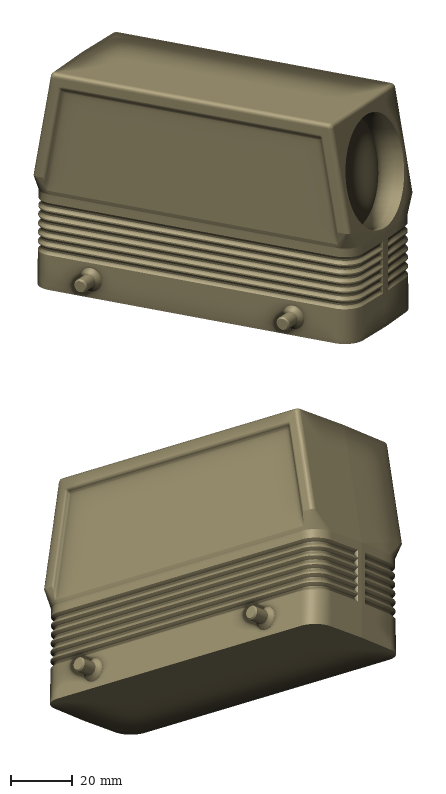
import cadquery as cq
import math

BASE_HALF_LENGTH = 60.0
BASE_HALF_WIDTH = 21.6
BASE_CORNER_RADIUS = 6.8
BASE_HEIGHT = 33.0
LENGTH_DRAFT = 0.15
WIDTH_DRAFT = 0.4
BASE_END_ANGLE = 1.8

GRIP_BOTTOM = 12.0
GRIP_TOP = 30.0
GROOVE_COUNT = 6
GROOVE_DEPTH = 1.0
GROOVE_SLOPE = 1.0
CREST_HEIGHT = 0.45
STRIP_HALF_WIDTH = 1.65
STRIP_SIDE_SPREAD = 0.6

TOTAL_HEIGHT = 76.0
SHOULDER_TOP = 39.0
HOOD_HALF_WIDTH = 22.5
HOOD_TOP_HALF_LENGTH = 52.1
HOOD_EDGE_RADIUS = 1.5
HOOD_END_ANGLE = 1.0
ROOF_ANGLE = 0.5

PANEL_DEPTH = 1.0
PANEL_TOP = 70.6
PANEL_END_MARGIN = 5.3
PANEL_WALL_RUN = 1.0
PANEL_CORNER_RADIUS = 0.7
PANEL_BLEND_RADIUS = 1.1

ENTRY_DIAMETER = 38.6
ENTRY_CENTER_Z = 53.2
ENTRY_DEPTH = 10.0

PIN_X = 37.25
PIN_Z = 6.3
PIN_RADIUS = 2.4
PIN_TIP_Y = 29.0
PIN_TIP_CHAMFER = 0.5
PIN_COLLAR_RADIUS = 4.0
PIN_ROOT_DEPTH = 1.0
PIN_COLLAR_END_Y = 23.2

BASE_TOP_HALF_LENGTH = BASE_HALF_LENGTH - LENGTH_DRAFT
BASE_TOP_HALF_WIDTH = BASE_HALF_WIDTH - WIDTH_DRAFT
END_SLOPE = (BASE_TOP_HALF_LENGTH - HOOD_TOP_HALF_LENGTH) / (TOTAL_HEIGHT - BASE_HEIGHT)
TOLERANCE = 0.01


def section(z, half_length, half_width, radius, end_angle):
    """Horizontal closed wire: rounded rectangle whose ends come to a blunt point on the X axis."""
    lean = math.radians(end_angle)
    center_y = half_width - radius
    center_x = half_length - center_y * math.tan(lean) - radius / math.cos(lean)

    def corner(sign_x, sign_y, angle):
        return (
            sign_x * (center_x + radius * math.cos(angle)),
            sign_y * (center_y + radius * math.sin(angle)),
        )

    square = math.pi / 2
    middle = (lean + square) / 2
    return (
        cq.Workplane("XY", origin=(0, 0, z))
        .moveTo(half_length, 0)
        .lineTo(*corner(1, 1, lean))
        .threePointArc(corner(1, 1, middle), corner(1, 1, square))
        .lineTo(*corner(-1, 1, square))
        .threePointArc(corner(-1, 1, middle), corner(-1, 1, lean))
        .lineTo(-half_length, 0)
        .lineTo(*corner(-1, -1, lean))
        .threePointArc(corner(-1, -1, middle), corner(-1, -1, square))
        .lineTo(*corner(1, -1, square))
        .threePointArc(corner(1, -1, middle), corner(1, -1, lean))
        .close()
        .val()
    )


def ruled(sections):
    """Solid with straight-ruled sides through the given sections."""
    return cq.Workplane(cq.Solid.makeLoft(sections, True))


def base_section(z, inset=0.0):
    """Skirt outline at height z, shrunk evenly by inset."""
    rise = z / BASE_HEIGHT
    return section(
        z,
        BASE_HALF_LENGTH - LENGTH_DRAFT * rise - inset,
        BASE_HALF_WIDTH - WIDTH_DRAFT * rise - inset,
        BASE_CORNER_RADIUS - inset,
        BASE_END_ANGLE,
    )


def hood_half_length(z):
    """Hood reach along X at height z, on the middle plane."""
    return HOOD_TOP_HALF_LENGTH + END_SLOPE * (TOTAL_HEIGHT - z)


def make_skirt():
    """Drafted skirt with a stack of trapezoidal grooves running around it."""
    groove_height = (GRIP_TOP - GRIP_BOTTOM - (GROOVE_COUNT - 1) * CREST_HEIGHT) / GROOVE_COUNT
    sections = [base_section(0)]
    for index in range(GROOVE_COUNT):
        low = GRIP_BOTTOM + index * (groove_height + CREST_HEIGHT)
        high = low + groove_height
        sections.append(base_section(low))
        sections.append(base_section(low + GROOVE_SLOPE, GROOVE_DEPTH))
        sections.append(base_section(high - GROOVE_SLOPE, GROOVE_DEPTH))
        sections.append(base_section(high))
    sections.append(base_section(BASE_HEIGHT))
    return ruled(sections)


def make_end_strips():
    """Plain strips flush with the drafted skirt, their sides widening inwards."""
    spread = STRIP_SIDE_SPREAD / GROOVE_DEPTH
    middle_half_width = STRIP_HALF_WIDTH + BASE_HALF_LENGTH * spread
    bow_tie = (
        cq.Workplane("XY", origin=(0, 0, GRIP_BOTTOM))
        .polyline([
            (BASE_HALF_LENGTH, -STRIP_HALF_WIDTH),
            (BASE_HALF_LENGTH, STRIP_HALF_WIDTH),
            (0, middle_half_width),
            (-BASE_HALF_LENGTH, STRIP_HALF_WIDTH),
            (-BASE_HALF_LENGTH, -STRIP_HALF_WIDTH),
            (0, -middle_half_width),
        ])
        .close()
        .extrude(GRIP_TOP - GRIP_BOTTOM)
    )
    core_width = 2 * (BASE_TOP_HALF_WIDTH - 2 * GROOVE_DEPTH)
    core = cq.Workplane("XY").box(2 * BASE_HALF_LENGTH, core_width, 2 * TOTAL_HEIGHT)
    plain_skirt = ruled([base_section(0), base_section(BASE_HEIGHT)])
    return plain_skirt.intersect(bow_tie).intersect(core)


def make_roof_limit():
    """Prism along X whose top falls slightly from the middle plane to both sides."""
    reach = 2 * HOOD_HALF_WIDTH
    eave = TOTAL_HEIGHT - reach * math.tan(math.radians(ROOF_ANGLE))
    return (
        cq.Workplane("YZ")
        .polyline([(-reach, 0), (reach, 0), (reach, eave), (0, TOTAL_HEIGHT), (-reach, eave)])
        .close()
        .extrude(BASE_HALF_LENGTH, both=True)
    )


def make_shoulder_limit():
    """Flare from the skirt outline to the hood outline; its ends meet the hood at the corners."""
    hood_corner_y = HOOD_HALF_WIDTH - HOOD_EDGE_RADIUS
    angle_gain = math.tan(math.radians(BASE_END_ANGLE)) - math.tan(math.radians(HOOD_END_ANGLE))
    half_length = hood_half_length(SHOULDER_TOP) + hood_corner_y * angle_gain
    outline = section(SHOULDER_TOP, half_length, HOOD_HALF_WIDTH, HOOD_EDGE_RADIUS, BASE_END_ANGLE)
    return ruled([base_section(BASE_HEIGHT), outline])


def hood_section(z):
    """Sharp-cornered outline of the hood at height z."""
    half_length = hood_half_length(z)
    corner_x = half_length - HOOD_HALF_WIDTH * math.tan(math.radians(HOOD_END_ANGLE))
    points = [
        (half_length, 0),
        (corner_x, HOOD_HALF_WIDTH),
        (-corner_x, HOOD_HALF_WIDTH),
        (-half_length, 0),
        (-corner_x, -HOOD_HALF_WIDTH),
        (corner_x, -HOOD_HALF_WIDTH),
    ]
    return cq.Workplane("XY", origin=(0, 0, z)).polyline(points).close().val()


def make_hood_block():
    """Hood with rounded outer edges, carried straight down to the top of the skirt."""
    block = ruled([hood_section(BASE_HEIGHT), hood_section(TOTAL_HEIGHT)])
    block = block.intersect(make_roof_limit())
    middle_reach = HOOD_HALF_WIDTH / 4
    rounded_edges = [
        edge
        for edge in block.edges().vals()
        if edge.Center().z > BASE_HEIGHT + HOOD_EDGE_RADIUS and abs(edge.Center().y) > middle_reach
    ]
    return block.newObject(rounded_edges).fillet(HOOD_EDGE_RADIUS)


def panel_section(y, spread):
    """Panel outline in the plane at the given Y, grown sideways and upwards by spread."""
    top = PANEL_TOP + spread
    bottom = BASE_HEIGHT - PANEL_DEPTH
    top_half = hood_half_length(top) - PANEL_END_MARGIN + spread
    bottom_half = hood_half_length(bottom) - PANEL_END_MARGIN + spread
    return (
        cq.Workplane("XZ", origin=(0, y, 0))
        .polyline([(-bottom_half, bottom), (bottom_half, bottom), (top_half, top), (-top_half, top)])
        .close()
        .val()
    )


def recess_panel(block, side):
    """Cut one sloping-walled panel into a long side and blend the rim and the foot of its wall."""
    face_y = side * HOOD_HALF_WIDTH
    floor_y = side * (HOOD_HALF_WIDTH - PANEL_DEPTH)
    outside_y = side * (HOOD_HALF_WIDTH + PANEL_DEPTH)
    cutter = ruled([
        panel_section(floor_y, -PANEL_WALL_RUN / 2),
        panel_section(outside_y, 3 * PANEL_WALL_RUN / 2),
    ])
    upper_corners = [
        edge
        for edge in cutter.edges().vals()
        if edge.BoundingBox().ylen > PANEL_DEPTH and edge.Center().z > SHOULDER_TOP
    ]
    cutter = cutter.newObject(upper_corners).fillet(PANEL_CORNER_RADIUS)
    block = block.cut(cutter)

    blended = []
    for edge in block.edges().vals():
        box = edge.BoundingBox()
        center = edge.Center()
        on_rim = abs(center.y - face_y) < TOLERANCE or abs(center.y - floor_y) < TOLERANCE
        inside_outline = (
            box.zmax < PANEL_TOP + PANEL_WALL_RUN
            and center.z > BASE_HEIGHT + TOLERANCE
            and abs(center.x) < hood_half_length(center.z) - PANEL_END_MARGIN + PANEL_WALL_RUN
        )
        if on_rim and inside_outline:
            blended.append(edge)
    return block.newObject(blended).fillet(PANEL_BLEND_RADIUS)


def make_hood():
    """Hood with both panels, narrowed below by the shoulder flare."""
    block = make_hood_block()
    for side in (-1, 1):
        block = recess_panel(block, side)
    above_shoulder = (
        cq.Workplane("XY", origin=(0, 0, SHOULDER_TOP))
        .rect(2 * BASE_HALF_LENGTH, 2 * BASE_HALF_LENGTH)
        .extrude(TOTAL_HEIGHT)
    )
    return block.intersect(above_shoulder).union(block.intersect(make_shoulder_limit()))


def make_pin(x, side):
    """Chamfered pin on a conical collar, rooted inside the skirt wall."""
    root_y = BASE_HALF_WIDTH - PIN_ROOT_DEPTH
    profile = (
        cq.Workplane("XY", origin=(x, 0, PIN_Z))
        .moveTo(0, root_y)
        .lineTo(PIN_COLLAR_RADIUS, root_y)
        .lineTo(PIN_COLLAR_RADIUS, BASE_HALF_WIDTH)
        .lineTo(PIN_RADIUS, PIN_COLLAR_END_Y)
        .lineTo(PIN_RADIUS, PIN_TIP_Y - PIN_TIP_CHAMFER)
        .lineTo(PIN_RADIUS - PIN_TIP_CHAMFER, PIN_TIP_Y)
        .lineTo(0, PIN_TIP_Y)
        .close()
    )
    pin = profile.revolve(360, (0, 0, 0), (0, 1, 0))
    return pin if side > 0 else pin.mirror("XZ")


def make_entry_bore():
    """Cutter for the blind round opening, square to the inclined +X end."""
    plane = cq.Plane(
        origin=(hood_half_length(ENTRY_CENTER_Z), 0, ENTRY_CENTER_Z),
        xDir=(0, 1, 0),
        normal=(1, 0, END_SLOPE),
    )
    return (
        cq.Workplane(plane)
        .workplane(offset=-ENTRY_DEPTH)
        .circle(ENTRY_DIAMETER / 2)
        .extrude(2 * ENTRY_DEPTH)
    )


result = (
    make_skirt()
    .union(make_end_strips())
    .union(make_hood())
    .cut(make_entry_bore())
)
for side in (-1, 1):
    for x in (-PIN_X, PIN_X):
        result = result.union(make_pin(x, side))